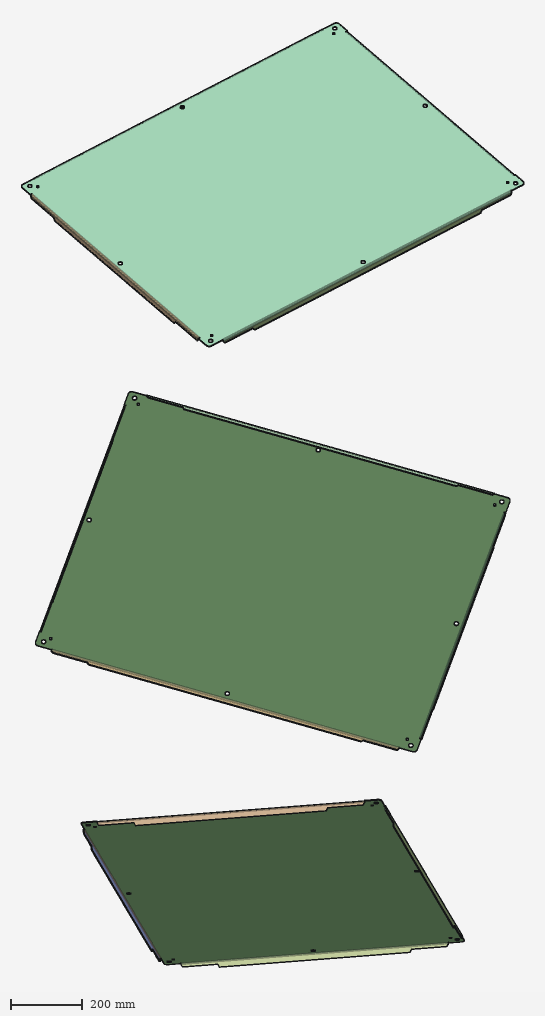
import cadquery as cq

width = 862.0
length = 1116.0
height = 22.0
sheet = 3.0

side_overhang = 3.7
corner_radius = 10.0

bend_radius = 5.4
corner_gap = 50.0
step_run = 105.0
step_depth = 13.0
end_slope = 5.0

fixing_diameter = 12.0
pilot_diameter = 7.1
fixing_inset = 21.0
pilot_inset = 37.0
fixing_x = width / 2 - fixing_inset
fixing_y = length / 2 - fixing_inset
pilot_x = width / 2 - pilot_inset
pilot_y = length / 2 - pilot_inset


def flat_plate():
    """Sheet with rounded corners and edge strips relieved where the flanges fold down."""
    plate_width = width - 2 * side_overhang
    plate = cq.Workplane("XY").box(plate_width, length, sheet, centered=(True, True, False))
    plate = plate.translate((0, 0, -sheet)).edges("|Z").fillet(corner_radius)
    side_relief = cq.Workplane("XY").box(2 * bend_radius, length - 2 * corner_gap, 2 * sheet)
    end_relief = cq.Workplane("XY").box(width - 2 * corner_gap, 2 * bend_radius, 2 * sheet)
    for sign in (-1, 1):
        plate = plate.cut(side_relief.translate((sign * width / 2, 0, -sheet)))
        plate = plate.cut(end_relief.translate((0, sign * length / 2, -sheet)))
    return plate


def flange(edge_length, edge_distance):
    """Bent flange along X whose outer face is at Y = -edge_distance, stepped at both ends."""
    inner_radius = bend_radius - sheet
    diagonal = 0.5 ** 0.5
    centre = -edge_distance + bend_radius
    half = edge_length / 2 - corner_gap
    bent = (
        cq.Workplane("YZ")
        .moveTo(centre, 0)
        .threePointArc(
            (centre - bend_radius * diagonal, -bend_radius + bend_radius * diagonal),
            (-edge_distance, -bend_radius),
        )
        .lineTo(-edge_distance, -height)
        .lineTo(-edge_distance + sheet, -height)
        .lineTo(-edge_distance + sheet, -bend_radius)
        .threePointArc(
            (centre - inner_radius * diagonal, -bend_radius + inner_radius * diagonal),
            (centre, -sheet),
        )
        .close()
        .extrude(half, both=True)
    )
    low_half = half - step_run
    outline = (
        cq.Workplane("XZ")
        .moveTo(-half, 0)
        .lineTo(-half, -bend_radius)
        .lineTo(-half + end_slope, -step_depth)
        .lineTo(-low_half, -step_depth)
        .lineTo(-low_half + end_slope, -height)
        .lineTo(low_half - end_slope, -height)
        .lineTo(low_half, -step_depth)
        .lineTo(half - end_slope, -step_depth)
        .lineTo(half, -bend_radius)
        .lineTo(half, 0)
        .close()
        .extrude(edge_distance)
    )
    return bent.intersect(outline)


def mirrored_points(x, y):
    return [(sx * x, sy * y) for sx in (-1, 1) for sy in (-1, 1)]


end_flange = flange(width, length / 2)
side_flange = flange(length, width / 2).rotate((0, 0, 0), (0, 0, 1), -90)

result = flat_plate()
for angle in (0, 180):
    for part in (end_flange, side_flange):
        result = result.union(part.rotate((0, 0, 0), (0, 0, 1), angle))

fixing_points = mirrored_points(fixing_x, fixing_y)
fixing_points += [(-fixing_x, 0), (fixing_x, 0), (0, -fixing_y), (0, fixing_y)]
for points, diameter in (
    (fixing_points, fixing_diameter),
    (mirrored_points(pilot_x, pilot_y), pilot_diameter),
):
    cutter = cq.Workplane("XY").pushPoints(points).circle(diameter / 2).extrude(-height)
    result = result.cut(cutter)